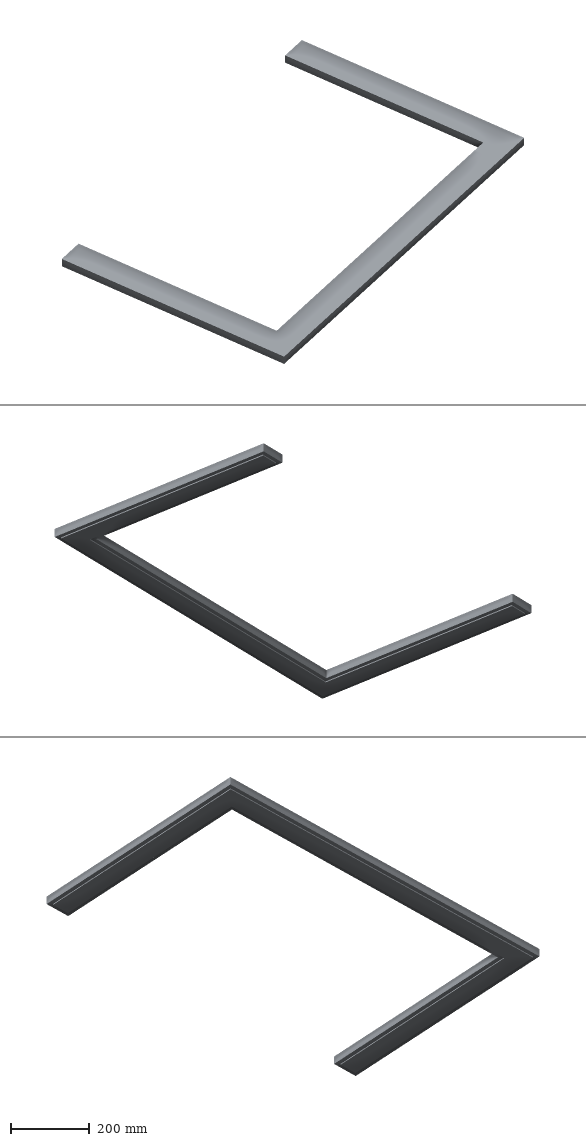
import cadquery as cq

FRAME_X = 686.0
FRAME_Y = 1067.0
FRAME_HEIGHT = 27.0
RAIL_WIDTH = 75.0

PAD_THICKNESS = 3.0
BOARD_THICKNESS = (FRAME_HEIGHT - PAD_THICKNESS) / 2
PAD_INSET = 12.0

LOWER_Z = PAD_THICKNESS
UPPER_Z = LOWER_Z + BOARD_THICKNESS


def plan_rectangles(inset=0.0, mirrored=False):
    """Plan rectangles (x_min, y_min, x_max, y_max) of the two arms and the cross rail.

    The through arm runs to the +X side of the frame and the cross rail butts against it.
    At the other corner the cross rail runs through and the short arm butts against the rail.
    The through arm is at -Y, or at +Y when mirrored. The inset narrows all the strips.
    """
    left = -FRAME_X / 2 + inset
    right = FRAME_X / 2 - inset
    front = -FRAME_Y / 2 + inset
    back = FRAME_Y / 2 - inset
    strip_width = RAIL_WIDTH - 2 * inset
    rail_left = right - strip_width
    through_arm = (left, front, right, front + strip_width)
    short_arm = (left, back - strip_width, rail_left, back)
    cross_rail = (rail_left, front + strip_width, right, back)
    rectangles = [through_arm, short_arm, cross_rail]
    if mirrored:
        return [(x_min, -y_max, x_max, -y_min) for x_min, y_min, x_max, y_max in rectangles]
    return rectangles


def make_slab(rectangle, bottom_z, thickness):
    """Flat slab over a plan rectangle."""
    x_min, y_min, x_max, y_max = rectangle
    slab = cq.Workplane("XY").box(x_max - x_min, y_max - y_min, thickness, centered=False)
    return slab.translate((x_min, y_min, bottom_z))


def make_upper_board(rectangle):
    return make_slab(rectangle, UPPER_Z, BOARD_THICKNESS)


def make_lower_board(rectangle):
    return make_slab(rectangle, LOWER_Z, BOARD_THICKNESS)


def make_pad(rectangle):
    """Thin strip under the lower boards."""
    return make_slab(rectangle, 0.0, PAD_THICKNESS)


upper_boards = [make_upper_board(area).val() for area in plan_rectangles()]
lower_boards = [make_lower_board(area).val() for area in plan_rectangles(mirrored=True)]
pads = [make_pad(area).val() for area in plan_rectangles(inset=PAD_INSET)]

result = cq.Compound.makeCompound([*upper_boards, *lower_boards, *pads])